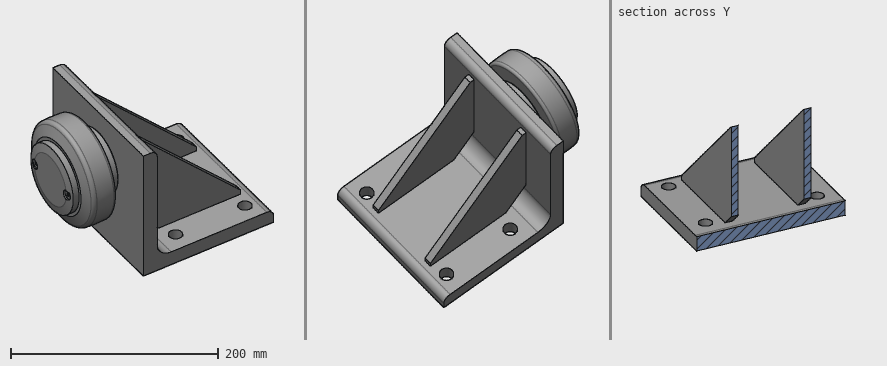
import cadquery as cq

width = 160.0
leg = 150.0
plate = 16.0
toe_radius = 8.0
root_radius = 16.0

rib_thickness = 8.0
rib_center_x = 39.1
rib_setback = 14.0
rib_land = 5.0
rib_root_cut = 25.5

hole_diameter = 14.0
hole_x = 60.0
hole_edge_distance = 20.0
hole_pitch_y = 80.0

axis_z = leg - 60.0
neck_radius = 71.0 / 2
neck_end_radius = 70.5 / 2
neck_chamfer = 0.5
roller_back = 15.0
roller_front = 46.3
back_corner = 3.0
tread_edge_radius = 55.7
crown_radius = 56.1
tread_front = 37.5
cone_start = 42.2
cone_start_radius = 52.5
cone_end_radius = 41.0
shoulder_round_bulge = 1.0
hub_radius = 75.0 / 2
hub_rim = 53.0
hub_front = 55.0
hub_face_radius = 28.0

pin_x = hub_face_radius
pin_seat_diameter = 10.5
pin_diameter = 9.8
pin_socket_diameter = 3.3
pin_seat_depth = 3.0
pin_recess = 1.6
pin_socket_depth = 1.2


def make_bracket():
    """L-shaped section with rounded toes and a filleted root."""
    section = (
        cq.Workplane("YZ")
        .polyline([(0, 0), (leg, 0), (leg, plate), (plate, plate), (plate, leg), (0, leg)])
        .close()
        .extrude(width / 2, both=True)
    )
    root_edge = cq.selectors.NearestToPointSelector((0, plate, plate))
    section = section.edges(root_edge).fillet(root_radius)
    for toe in [(0, leg, plate), (0, plate, leg)]:
        section = section.edges(cq.selectors.NearestToPointSelector(toe)).fillet(toe_radius)
    holes = (
        cq.Workplane("XY")
        .pushPoints([
            (x, leg - hole_edge_distance - row * hole_pitch_y)
            for x in (-hole_x, hole_x)
            for row in (0, 1)
        ])
        .circle(hole_diameter / 2)
        .extrude(plate)
    )
    return section.cut(holes)


def make_rib(center_x):
    """Diagonal gusset with short lands at its ends and a clipped root corner."""
    tip = leg - rib_setback
    land = plate + rib_land
    root = plate + rib_root_cut
    return (
        cq.Workplane("YZ", origin=(center_x, 0, 0))
        .polyline([(root, plate), (tip, plate), (tip, land), (land, tip), (plate, tip), (plate, root)])
        .close()
        .extrude(rib_thickness / 2, both=True)
    )


def make_roller():
    """Neck, crowned roller and hub revolved about the horizontal axis."""
    tread_back = roller_back + back_corner
    tread_middle = (tread_back + tread_front) / 2
    profile = (
        cq.Workplane("XY")
        .lineTo(neck_end_radius, 0)
        .lineTo(neck_radius, -neck_chamfer)
        .lineTo(neck_radius, neck_chamfer - roller_back)
        .lineTo(neck_end_radius, -roller_back)
        .lineTo(tread_edge_radius - back_corner, -roller_back)
        .radiusArc((tread_edge_radius, -tread_back), back_corner)
        .threePointArc((crown_radius, -tread_middle), (tread_edge_radius, -tread_front))
        .sagittaArc((cone_start_radius, -cone_start), shoulder_round_bulge)
        .lineTo(cone_end_radius, -roller_front)
        .lineTo(hub_radius, -roller_front)
        .lineTo(hub_radius, -hub_rim)
        .lineTo(hub_face_radius, -hub_front)
        .lineTo(0, -hub_front)
        .close()
    )
    return profile.revolve(360, (0, 0), (0, 1)).translate((0, 0, axis_z))


def pin_cylinder(x, diameter, front, back):
    """Cylinder along the roller axis direction, spanning two stations."""
    return (
        cq.Workplane("XZ", origin=(x, -back, axis_z))
        .circle(diameter / 2)
        .extrude(front - back)
    )


def add_pin(body, x):
    """Seat counterbored in the hub face, filled by a recessed pin with a socket."""
    seat_floor = hub_front - pin_seat_depth
    pin_front = hub_front - pin_recess
    body = body.cut(pin_cylinder(x, pin_seat_diameter, hub_front, seat_floor))
    body = body.union(pin_cylinder(x, pin_diameter, pin_front, seat_floor))
    return body.cut(pin_cylinder(x, pin_socket_diameter, pin_front, pin_front - pin_socket_depth))


result = make_bracket()
for side in (-1, 1):
    result = result.union(make_rib(side * rib_center_x))
result = result.union(make_roller())
for side in (-1, 1):
    result = add_pin(result, side * pin_x)